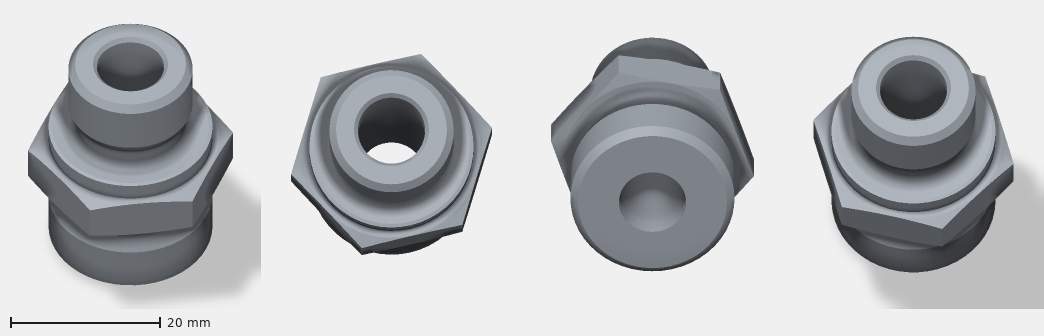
import cadquery as cq
import math

total_height = 32.5
hex_bottom = 12.0
hex_top = 17.95
collar_edge = 20.45
lower_thread_top = 7.38
upper_thread_bottom = 25.0
upper_fillet_top = 21.45

bore_diameter = 9.0
lower_thread_diameter = 22.0
collar_diameter = lower_thread_diameter
lower_groove_diameter = 19.7
upper_thread_diameter = 16.67
upper_groove_diameter = 14.7
sealing_rim_diameter = 21.05

across_flats = 24.0
hex_chamfer_diameter = 23.9
hex_chamfer_angle = 15.0

lower_end_chamfer = 1.0
upper_end_chamfer = 0.9
bore_chamfer = 0.52
rim_bevel_height = 0.1
groove_fillet = 1.0
sealing_face_fillet = 1.2
sealing_face_angle = 5.5
runout_angle = 30.0


def arc_point(center, radius, angle):
    """Point at the given angle, in degrees, on a circle in the profile plane."""
    turn = math.radians(angle)
    return (center[0] + radius * math.cos(turn), center[1] + radius * math.sin(turn))


def turned_body():
    """Revolved threads, grooves and collar; profile points are (radius, height)."""
    lower_radius = lower_thread_diameter / 2
    upper_radius = upper_thread_diameter / 2
    lower_floor = lower_groove_diameter / 2
    upper_floor = upper_groove_diameter / 2
    runout_slope = math.tan(math.radians(runout_angle))
    tangent_length = groove_fillet * math.tan(math.radians(runout_angle / 2))

    lower_corner = lower_thread_top + (lower_radius - lower_floor) / runout_slope
    lower_runout_center = (lower_floor + groove_fillet, lower_corner + tangent_length)
    hex_root_center = (lower_floor + groove_fillet, hex_bottom - groove_fillet)

    upper_corner = upper_thread_bottom - (upper_radius - upper_floor) / runout_slope
    upper_runout_center = (upper_floor + groove_fillet, upper_corner - tangent_length)
    seal_root_center = (upper_floor + sealing_face_fillet, upper_fillet_top)
    seal_end_angle = 270 + sealing_face_angle

    def arc(profile, center, radius, start, end):
        middle = arc_point(center, radius, (start + end) / 2)
        return profile.threePointArc(middle, arc_point(center, radius, end))

    profile = (
        cq.Workplane("XZ")
        .lineTo(lower_radius - lower_end_chamfer, 0)
        .lineTo(lower_radius, lower_end_chamfer)
        .lineTo(lower_radius, lower_thread_top)
        .lineTo(*arc_point(lower_runout_center, groove_fillet, 180 + runout_angle))
    )
    profile = arc(profile, lower_runout_center, groove_fillet, 180 + runout_angle, 180)
    profile = profile.lineTo(lower_floor, hex_root_center[1])
    profile = arc(profile, hex_root_center, groove_fillet, 180, 90)

    profile = (
        profile.lineTo(collar_diameter / 2, hex_bottom)
        .lineTo(collar_diameter / 2, collar_edge - rim_bevel_height)
        .lineTo(sealing_rim_diameter / 2, collar_edge)
        .lineTo(*arc_point(seal_root_center, sealing_face_fillet, seal_end_angle))
    )
    profile = arc(profile, seal_root_center, sealing_face_fillet, seal_end_angle, 180)

    profile = profile.lineTo(upper_floor, upper_runout_center[1])
    profile = arc(profile, upper_runout_center, groove_fillet, 180, 180 - runout_angle)
    return (
        profile.lineTo(upper_radius, upper_thread_bottom)
        .lineTo(upper_radius, total_height - upper_end_chamfer)
        .lineTo(upper_radius - upper_end_chamfer, total_height)
        .lineTo(0, total_height)
        .close()
        .revolve(360, (0, 0), (0, 1))
    )


def hexagon():
    """Hexagon with corners on the Y axis, trimmed by a cone on both faces."""
    across_corners = across_flats / math.cos(math.radians(30))
    prism = (
        cq.Workplane("XY", origin=(0, 0, hex_bottom))
        .transformed(rotate=(0, 0, 30))
        .polygon(6, across_corners)
        .extrude(hex_top - hex_bottom)
    )
    face_radius = hex_chamfer_diameter / 2
    corner_radius = across_corners / 2
    drop = (corner_radius - face_radius) * math.tan(math.radians(hex_chamfer_angle))
    envelope = (
        cq.Workplane("XZ")
        .moveTo(0, hex_bottom)
        .lineTo(face_radius, hex_bottom)
        .lineTo(corner_radius, hex_bottom + drop)
        .lineTo(corner_radius, hex_top - drop)
        .lineTo(face_radius, hex_top)
        .lineTo(0, hex_top)
        .close()
        .revolve(360, (0, 0), (0, 1))
    )
    return prism.intersect(envelope)


def bore():
    """Through bore, chamfered at the upper end."""
    radius = bore_diameter / 2
    return (
        cq.Workplane("XZ")
        .lineTo(radius, 0)
        .lineTo(radius, total_height - bore_chamfer)
        .lineTo(radius + bore_chamfer, total_height)
        .lineTo(0, total_height)
        .close()
        .revolve(360, (0, 0), (0, 1))
    )


result = turned_body().union(hexagon()).cut(bore())